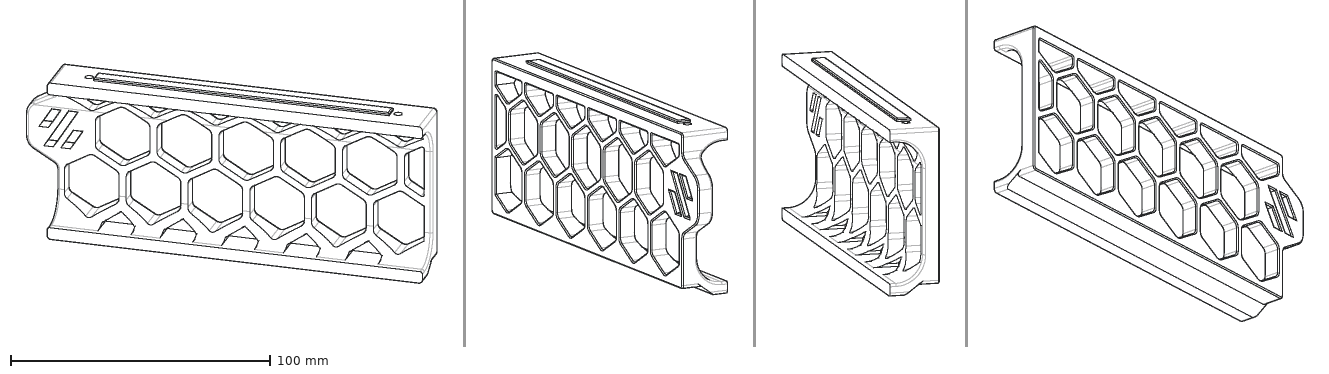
import cadquery as cq
import math

length = 164.0
depth = 20.0
body_height = 65.6
body_left = 12.6

flange_thickness = 5.0
flange_inner_top = body_height - flange_thickness
web_front = 13.3
inner_radius = 10.8
back_bottom = 4.0
step_rear = 11.2
step_front = 5.7
corner_radius = 1.5
inner_edge_radius = 1.0
back_chamfer = 0.5

cell_pitch = 25.0
cell_gap = 3.0
cell_radius = 2.5
cut_cell_radius = 0.8
row_pitch = cell_pitch * math.sqrt(3) / 2
cell_width = cell_pitch - cell_gap
cell_center_z = 41.0
cell_start_x = 39.0
cells_per_row = 6
frame_right = 160.7

tab_center_x = cell_start_x - cell_pitch
tab_width = 2 * tab_center_x
tab_tip_radius = 6.0
tab_root_radius = 3.0

slot_width = 3.8
slot_height = 15.7
slot_lean = 0.63
slot_offset = 6.9

nest_count = 5
nest_width = 13.3
nest_top = 10.0
nest_rear = 12.5

rail_left = 29.2
rail_length = 119.2
rail_width = 5.7
rail_height = 1.1
rail_chamfer = 0.5
hole_diameter = 3.1
hole_left = cell_start_x - cell_pitch / 2
hole_right = hole_left + (cells_per_row - 1) * cell_pitch
mid_depth = depth / 2

margin = 0.2


def hexagon_points(center_x, center_z, width):
    """Corners of a hexagon whose vertical flats are 'width' apart."""
    radius = width / math.sqrt(3)
    angles = [math.radians(30 + 60 * i) for i in range(6)]
    return [(center_x + radius * math.cos(a), center_z + radius * math.sin(a)) for a in angles]


def prism(points, rear=depth):
    """Extrude an XZ outline along Y from the front edge to 'rear'."""
    return cq.Workplane("XZ").polyline(points).close().extrude(-rear)


def box_between(x0, x1, z0, z1):
    return prism([(x0, z0), (x1, z0), (x1, z1), (x0, z1)])


def channel():
    """C-shaped section swept along the full length."""
    arc_y = web_front - inner_radius
    arc_middle_y = arc_y + inner_radius * math.sqrt(0.5)
    arc_rise = inner_radius * (1 - math.sqrt(0.5))
    upper_arc_end = flange_inner_top - inner_radius
    return (
        cq.Workplane("YZ")
        .moveTo(0, 0)
        .lineTo(step_front, 0)
        .lineTo(step_rear, back_bottom)
        .lineTo(depth, back_bottom)
        .lineTo(depth, body_height)
        .lineTo(0, body_height)
        .lineTo(0, flange_inner_top)
        .lineTo(arc_y, flange_inner_top)
        .threePointArc((arc_middle_y, flange_inner_top - arc_rise), (web_front, upper_arc_end))
        .lineTo(web_front, flange_thickness + inner_radius)
        .threePointArc((arc_middle_y, flange_thickness + arc_rise), (arc_y, flange_thickness))
        .lineTo(0, flange_thickness)
        .close()
        .extrude(length)
    )


def rounded_body(bottom):
    """Body block from 'bottom' to the top, with its four end corners rounded."""
    return box_between(body_left, length, bottom, body_height).edges("|Y").fillet(corner_radius)


def outline():
    """Body block joined to the hexagonal end tab."""
    tab = prism(hexagon_points(tab_center_x, cell_center_z, tab_width))
    tab = tab.edges("<X and |Y").fillet(tab_tip_radius)
    root_reach = tab_width / math.sqrt(3) + margin
    roots = cq.selectors.BoxSelector(
        (body_left - margin, 0, cell_center_z - root_reach),
        (body_left + margin, depth, cell_center_z + root_reach),
    )
    return rounded_body(0).union(tab).edges("|Y").edges(roots).fillet(tab_root_radius)


def web_corner_waste():
    """Material outside the rounded lower end corners of the web, up to the sloping underside."""
    slope = (step_rear - step_front) / back_bottom
    corner_top = back_bottom + corner_radius
    strip = (
        cq.Workplane("YZ")
        .moveTo(step_rear, back_bottom)
        .lineTo(depth, back_bottom)
        .lineTo(depth, corner_top)
        .lineTo(step_rear + corner_radius * slope, corner_top)
        .close()
        .extrude(length)
    )
    return strip.cut(rounded_body(back_bottom))


def inner_end_edges(x0, x1):
    """Picks the edges of the inner C surface whose centres lie between x0 and x1."""
    return cq.selectors.BoxSelector(
        (x0 - margin, margin, flange_thickness - margin),
        (x1 + margin, web_front + margin, flange_inner_top + margin),
    )


def honeycomb():
    frame = box_between(body_left, frame_right, 0, flange_inner_top)
    top_corners = cq.selectors.BoxSelector(
        (0, 0, flange_inner_top - margin), (length, depth, flange_inner_top + margin)
    )
    side_corners = cq.selectors.BoxSelector(
        (frame_right - margin, 0, cell_center_z - row_pitch),
        (frame_right + margin, depth, cell_center_z + row_pitch),
    )
    cells = cq.Workplane("XZ")
    for row in (-1, 0, 1):
        start_x = cell_start_x - abs(row) * cell_pitch / 2
        center_z = cell_center_z + row * row_pitch
        for i in range(cells_per_row):
            cell = prism(hexagon_points(start_x + i * cell_pitch, center_z, cell_width))
            cell = cell.edges("|Y").fillet(cell_radius).intersect(frame)
            if row == 1:
                cell = cell.edges("|Y").edges(top_corners).fillet(cut_cell_radius)
            if row == 0 and i == cells_per_row - 1:
                cell = cell.edges("|Y").edges(side_corners).fillet(cut_cell_radius)
            cells = cells.add(cell)
    return cells.combine()


def slanted_slot(center_x, low, high):
    """Parallelogram slot between two heights measured from the tab centre."""
    bottom_x = center_x + slot_lean * low
    top_x = center_x + slot_lean * high
    half = slot_width / 2
    return prism([
        (bottom_x - half, cell_center_z + low),
        (bottom_x + half, cell_center_z + low),
        (top_x + half, cell_center_z + high),
        (top_x - half, cell_center_z + high),
    ])


def slanted_slots():
    """A long slot with a short one on either side."""
    half_height = slot_height / 2
    long_slot = slanted_slot(tab_center_x, -half_height, half_height)
    upper_slot = slanted_slot(tab_center_x - slot_offset, 0, half_height)
    lower_slot = slanted_slot(tab_center_x + slot_offset, -half_height, 0)
    return long_slot.union(upper_slot).union(lower_slot)


def nests():
    """Hexagonal pockets between the lowest cells, their floors level with the flange."""
    above_flange = box_between(0, length, flange_thickness, body_height)
    center_z = nest_top - nest_width / math.sqrt(3)
    pockets = cq.Workplane("XZ")
    for i in range(nest_count):
        center_x = cell_start_x + i * cell_pitch
        pockets = pockets.add(prism(hexagon_points(center_x, center_z, nest_width), nest_rear))
    return pockets.combine().intersect(above_flange)


def rail():
    bar = cq.Workplane("XY").box(rail_length, rail_width, rail_height, centered=(False, True, False))
    bar = bar.faces(">Z").chamfer(rail_chamfer)
    return bar.translate((rail_left, mid_depth, body_height))


def screw_holes():
    """Holes through the upper flange and the arc below it."""
    return (
        cq.Workplane("XY", origin=(0, mid_depth, body_height))
        .pushPoints([(hole_left, 0), (hole_right, 0)])
        .circle(hole_diameter / 2)
        .extrude(-flange_thickness - inner_radius)
    )


panel = channel().intersect(outline()).cut(web_corner_waste())
panel = panel.edges(inner_end_edges(0, body_left)).fillet(inner_edge_radius)
panel = panel.edges(inner_end_edges(length, length)).fillet(inner_edge_radius)
panel = panel.cut(honeycomb()).cut(slanted_slots())
panel = panel.faces(">Y").chamfer(back_chamfer)
result = panel.cut(nests()).union(rail()).cut(screw_holes())